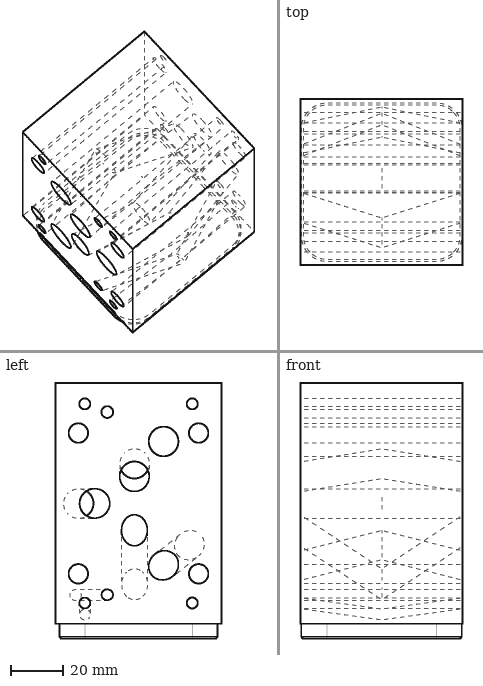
import cadquery as cq

length_x = 61.9
width_y = 63.5
height_z = 97.6

foot_height = 5.8
foot_length_x = 61.3
foot_width_y = 60.4
foot_corner_radius = 9.8
foot_chamfer = 0.8

block_height = height_z - foot_height
pattern_z = foot_height + block_height / 2
half_length = length_x / 2
overrun = 9.8

bolt_diameter = 7.3
bolt_y = 22.9
bolt_z = 26.85

pin_diameter = 4.1
pin_y = 20.5
pin_z = 38.0
pin_bend_z = -4.3

upper_pilot_diameter = 4.4
lower_pilot_diameter = 4.1
pilot_y = 11.9
pilot_z = 34.9
lower_pilot_bend_y = 12.2

port_diameter = 11.2
outer_port_y = -9.6
outer_port_z = 23.6
lower_outer_port_diameter = 10.8
lower_outer_port_bend_y = -9.8
lower_outer_port_bend_z = 7.8
inner_port_y = 1.6
inner_port_z = 10.3
upper_inner_port_bend_z = 5.0
lower_inner_port_diameter = 9.9
lower_inner_port_bend_z = -20.5
side_port_y = 16.7
side_port_bend_y = 6.25

straight_holes = [
    (pin_y, pin_z, pin_diameter),
    (-pin_y, pin_z, pin_diameter),
    (-pin_y, -pin_z, pin_diameter),
    (pilot_y, pilot_z, upper_pilot_diameter),
    (outer_port_y, outer_port_z, port_diameter),
]
for side in (1, -1):
    for end in (1, -1):
        straight_holes.append((side * bolt_y, end * bolt_z, bolt_diameter))

bent_holes = [
    (inner_port_y, inner_port_z, port_diameter, 0, upper_inner_port_bend_z),
    (side_port_y, 0, port_diameter, side_port_bend_y, 0),
    (inner_port_y, -inner_port_z, lower_inner_port_diameter, 0, lower_inner_port_bend_z),
    (
        outer_port_y,
        -outer_port_z,
        lower_outer_port_diameter,
        lower_outer_port_bend_y,
        lower_outer_port_bend_z,
    ),
    (pin_y, -pin_z, pin_diameter, 0, pin_bend_z),
    (pilot_y, -pilot_z, lower_pilot_diameter, lower_pilot_bend_y, 0),
]


def centred_box(size_x, size_y, size_z):
    """Box centred on X and Y, standing on Z = 0."""
    return cq.Workplane("XY").box(size_x, size_y, size_z, centered=(True, True, False))


def straight_hole(y, z, diameter):
    """Cutter running along X through the whole block."""
    start = cq.Vector(-half_length - overrun, y, pattern_z + z)
    length = length_x + 2 * overrun
    cutter = cq.Solid.makeCylinder(diameter / 2, length, start, cq.Vector(1, 0, 0))
    return cq.Workplane(obj=cutter)


def bent_hole(y, z, diameter, bend_y, bend_z):
    """Cutter with two mirrored sloping legs, displaced by the bend where they meet at X = 0."""
    leg_vector = cq.Vector(half_length, bend_y, bend_z)
    entry = cq.Vector(-half_length, y, pattern_z + z)
    cylinder = cq.Solid.makeCylinder(diameter / 2, 3 * leg_vector.Length, entry - leg_vector, leg_vector)
    half_block = centred_box(half_length, width_y, height_z).translate((-half_length / 2, 0, 0))
    leg = half_block.intersect(cq.Workplane(obj=cylinder))
    return leg.union(leg.mirror("YZ"))


block = centred_box(length_x, width_y, block_height).translate((0, 0, foot_height))
foot = (
    centred_box(foot_length_x, foot_width_y, foot_height)
    .edges("|Z")
    .fillet(foot_corner_radius)
    .faces("<Z")
    .chamfer(foot_chamfer)
)
result = block.union(foot)

for hole in straight_holes:
    result = result.cut(straight_hole(*hole))
for hole in bent_holes:
    result = result.cut(bent_hole(*hole))